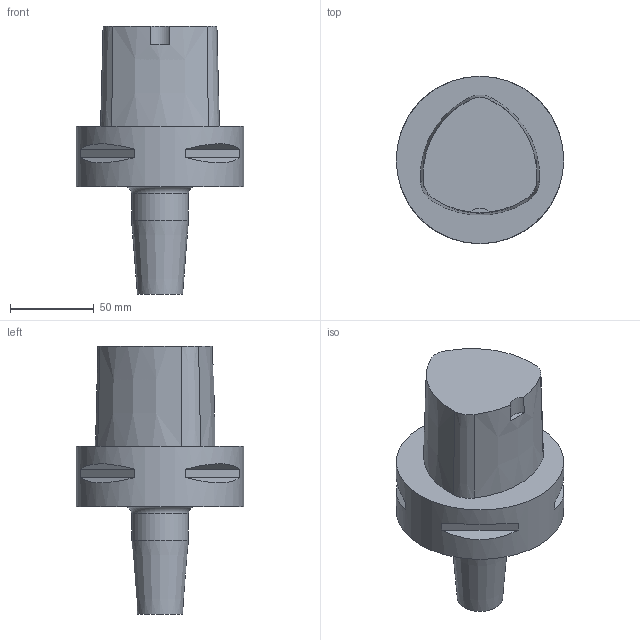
import cadquery as cq
import math


flange_diameter = 100.0
flange_thickness = 36.0

slot_count = 4
slot_first_angle = 45.0
slot_centre_z = -16.0
slot_floor_width = 5.0
slot_floor_distance = 44.5
slot_flank_angle = 30.0

neck_diameter = 34.0
neck_straight_length = 20.0
neck_taper_length = 44.0
neck_tip_diameter = 27.0
neck_fillet_radius = 4.0

shank_length = 60.0
shank_taper_per_side = 1 / 40
lobe_count = 3
lobe_reach = 38.7
flat_reach = 33.0
lobe_radius = 14.8

notch_diameter = 16.0
notch_centre_y = -36.8
notch_depth = 11.3


def polar(distance, angle):
    """Point at a distance from the part axis, angle in degrees from +X."""
    return (distance * math.cos(math.radians(angle)), distance * math.sin(math.radians(angle)))


def make_flange():
    return cq.Workplane("XY").circle(flange_diameter / 2).extrude(-flange_thickness)


def make_neck():
    """Turned neck: fillet into the flange, straight stretch, then a cone to the tip."""
    radius = neck_diameter / 2
    flange_face_z = -flange_thickness
    taper_start_z = flange_face_z - neck_straight_length
    tip_z = taper_start_z - neck_taper_length
    return (
        cq.Workplane("XZ")
        .moveTo(0, flange_face_z)
        .lineTo(radius + neck_fillet_radius, flange_face_z)
        .radiusArc((radius, flange_face_z - neck_fillet_radius), -neck_fillet_radius)
        .lineTo(radius, taper_start_z)
        .lineTo(neck_tip_diameter / 2, tip_z)
        .lineTo(0, tip_z)
        .close()
        .revolve(360, (0, 0, 0), (0, 1, 0))
    )


def make_shank():
    """Rounded lobes joined by tangent flatter arcs, tapering towards the end."""
    half_pitch = 180 / lobe_count
    lobe_centre = lobe_reach - lobe_radius
    radial_gap = flat_reach - lobe_radius
    flat_centre = (lobe_centre**2 - radial_gap**2) / (
        2 * (radial_gap - lobe_centre * math.cos(math.radians(half_pitch)))
    )
    lobe_half_angle = math.degrees(math.atan2(
        flat_centre * math.sin(math.radians(half_pitch)),
        lobe_centre + flat_centre * math.cos(math.radians(half_pitch)),
    ))

    def lobe_end(lobe_angle, side):
        centre_x, centre_y = polar(lobe_centre, lobe_angle)
        offset_x, offset_y = polar(lobe_radius, lobe_angle + side * lobe_half_angle)
        return (centre_x + offset_x, centre_y + offset_y)

    first_lobe_angle = 90.0
    outline = cq.Workplane("XY").moveTo(*lobe_end(first_lobe_angle, -1))
    for index in range(lobe_count):
        lobe_angle = first_lobe_angle + index * 2 * half_pitch
        next_lobe_angle = lobe_angle + 2 * half_pitch
        outline = outline.threePointArc(polar(lobe_reach, lobe_angle), lobe_end(lobe_angle, 1))
        outline = outline.threePointArc(
            polar(flat_reach, lobe_angle + half_pitch), lobe_end(next_lobe_angle, -1)
        )
    taper_angle = math.degrees(math.atan(shank_taper_per_side))
    return outline.close().extrude(shank_length, taper=taper_angle)


def make_notch_cutter():
    return (
        cq.Workplane("XY", origin=(0, notch_centre_y, shank_length - notch_depth))
        .circle(notch_diameter / 2)
        .extrude(notch_depth)
    )


def make_slot_cutter(angle):
    """Straight trapezoidal groove lying tangentially across the rim."""
    outer_distance = flange_diameter / 2
    flank_rise = (outer_distance - slot_floor_distance) * math.tan(math.radians(slot_flank_angle))
    floor_half = slot_floor_width / 2
    mouth_half = floor_half + flank_rise
    return (
        cq.Workplane("XZ")
        .polyline([
            (slot_floor_distance, slot_centre_z - floor_half),
            (outer_distance, slot_centre_z - mouth_half),
            (outer_distance, slot_centre_z + mouth_half),
            (slot_floor_distance, slot_centre_z + floor_half),
        ])
        .close()
        .extrude(flange_diameter / 2, both=True)
        .rotate((0, 0, 0), (0, 0, 1), angle)
    )


result = make_flange().union(make_neck()).union(make_shank()).cut(make_notch_cutter())
for slot_index in range(slot_count):
    slot_angle = slot_first_angle + slot_index * 360 / slot_count
    result = result.cut(make_slot_cutter(slot_angle))